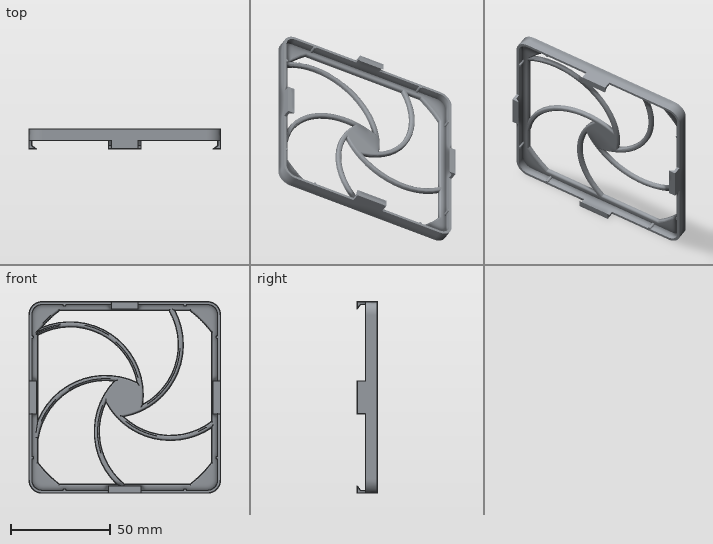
import cadquery as cq
import math

frame_size = 96.3
frame_depth = 6.0
corner_radius = 6.6
wall = 1.4
floor_depth = 2.0
inner_size = frame_size - 2 * wall

opening_size = 87.2
opening_diameter = 109.2
edge_round = 1.0

spoke_count = 5
spoke_pitch = 360.0 / spoke_count
spoke_radius = 36.8
spoke_width = 2.6
spoke_orbit = 27.4
first_spoke_angle = 177.4
spoke_sweep = 135.0
grazing_spoke = 1
grazing_sweep = 110.0

total_depth = 10.1
clip_width = 16.6
top_clip_width = 13.5
barb_reach = 3.7
barb_height = 1.6

ridge_offset = 30.3
ridge_radius = 0.8

wall_turns = {"bottom": 0, "left": 90, "top": 180, "right": 270}


def plane_at(depth):
    """Workplane facing -Y at the given distance in front of the back face."""
    return cq.Workplane("XZ", origin=(0, -depth, 0))


def rounded_square(size, radius, start, end):
    """Square block with rounded corners between two depths."""
    return plane_at(start).rect(size, size).extrude(end - start).edges("|Y").fillet(radius)


def make_tray():
    """Floor with a rounded opening, and the wall round it."""
    opening = (
        plane_at(0).rect(opening_size, opening_size).extrude(floor_depth)
        .intersect(plane_at(0).circle(opening_diameter / 2).extrude(floor_depth))
    )
    floor = rounded_square(frame_size, corner_radius, 0, floor_depth).cut(opening)
    reach = opening_size / 2 + edge_round / 2
    front = (reach, -floor_depth - edge_round / 2, reach)
    back = (-reach, -floor_depth + edge_round / 2, -reach)
    floor = floor.edges(cq.selectors.BoxSelector(front, back)).fillet(edge_round)
    rim = rounded_square(frame_size, corner_radius, floor_depth, frame_depth)
    rim = rim.cut(rounded_square(inner_size, corner_radius - wall, floor_depth, frame_depth))
    return floor.union(rim)


def place_spoke(body, index):
    """Turn a body built about the Y axis to a spoke's direction and move it to that spoke's centre."""
    angle = first_spoke_angle + index * spoke_pitch
    return body.translate((spoke_orbit, 0, 0)).rotate((0, 0, 0), (0, -1, 0), angle)


def make_spoke(sweep):
    """Arc of a bar with rounded front edges, from its meeting with the next spoke out past the opening."""
    inner_radius = spoke_radius - spoke_width
    shoulder = floor_depth - edge_round
    section = (
        cq.Workplane("XY")
        .moveTo(inner_radius, 0)
        .lineTo(spoke_radius, 0)
        .lineTo(spoke_radius, -shoulder)
        .radiusArc((spoke_radius - edge_round, -floor_depth), edge_round)
        .lineTo(inner_radius + edge_round, -floor_depth)
        .radiusArc((inner_radius, -shoulder), edge_round)
        .close()
    )
    half_pitch = math.radians(spoke_pitch / 2)
    bisector_gap = spoke_orbit * math.sin(half_pitch)
    crossing = 270 - spoke_pitch / 2 - math.degrees(math.acos(bisector_gap / spoke_radius))
    start = crossing + math.degrees(edge_round / spoke_radius)
    bar = section.revolve(sweep, (0, 0, 0), (0, -1, 0))
    return bar.rotate((0, 0, 0), (0, -1, 0), start)


def make_guard():
    """Spokes round a hub that reaches to the middle of each spoke, cut off within the walls."""
    disc = plane_at(0).circle(spoke_radius - spoke_width / 2).extrude(floor_depth)
    hub = place_spoke(disc, 0)
    for index in range(1, spoke_count):
        hub = hub.intersect(place_spoke(disc, index))
    guard = hub
    for index in range(spoke_count):
        sweep = grazing_sweep if index == grazing_spoke else spoke_sweep
        guard = guard.union(place_spoke(make_spoke(sweep), index))
    return guard.intersect(rounded_square(inner_size, corner_radius - wall, 0, floor_depth))


def make_clip(width):
    """Barbed clip on the bottom wall."""
    outside = -frame_size / 2
    return (
        cq.Workplane("YZ")
        .moveTo(-floor_depth, outside)
        .lineTo(-total_depth, outside)
        .lineTo(-total_depth, outside + barb_reach)
        .lineTo(-total_depth + barb_height, outside + wall)
        .lineTo(-floor_depth, outside + wall)
        .close()
        .extrude(width / 2, both=True)
    )


def make_ridges():
    """Pair of ridges on the inside of the bottom wall, as tall as the wall."""
    return (
        plane_at(floor_depth)
        .pushPoints([(side * ridge_offset, -inner_size / 2) for side in (-1, 1)])
        .circle(ridge_radius)
        .extrude(frame_depth - floor_depth)
    )


result = make_tray().union(make_guard())
for side, turn in wall_turns.items():
    clip = make_clip(top_clip_width if side == "top" else clip_width)
    for feature in (clip, make_ridges()):
        result = result.union(feature.rotate((0, 0, 0), (0, 1, 0), turn))